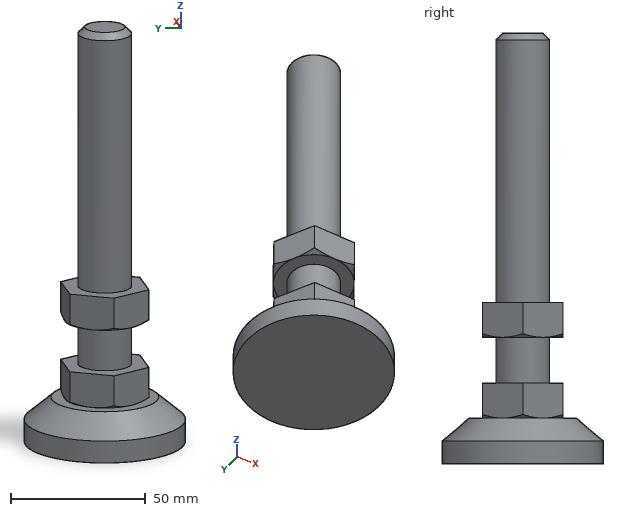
import cadquery as cq
import math

foot_diameter = 60.0
foot_top_diameter = 40.0
foot_rim_height = 8.5
foot_height = 17.0

total_height = 160.0
stud_diameter = 20.0
tip_chamfer = 2.5

across_flats = 30.0
hex_height = 13.0
hex_gap = 17.0
hex_sides = 6
chamfer_angle = 30.0
across_corners = across_flats / math.cos(math.pi / hex_sides)
corner_chamfer_width = (across_corners - across_flats) / 2
corner_chamfer_height = corner_chamfer_width * math.tan(math.radians(chamfer_angle))

stud_hex_bottom = foot_height
stud_hex_top = stud_hex_bottom + hex_height
nut_bottom = stud_hex_top + hex_gap


def hexagon(bottom):
    """Hexagonal prism with corners on the X axis and its lower corners bevelled by a cone."""
    prism = (
        cq.Workplane("XY")
        .workplane(offset=bottom)
        .polygon(hex_sides, across_corners)
        .extrude(hex_height)
    )
    bevelled_cylinder = (
        cq.Workplane("XY")
        .workplane(offset=bottom)
        .circle(across_corners / 2)
        .extrude(hex_height)
        .faces("<Z")
        .chamfer(corner_chamfer_height, corner_chamfer_width)
    )
    return prism.intersect(bevelled_cylinder)


def make_foot():
    """Solid of revolution: upright rim below, cone above, flat seat on top."""
    return (
        cq.Workplane("XZ")
        .lineTo(foot_diameter / 2, 0)
        .lineTo(foot_diameter / 2, foot_rim_height)
        .lineTo(foot_top_diameter / 2, foot_height)
        .lineTo(0, foot_height)
        .close()
        .revolve(360, (0, 0), (0, 1))
    )


def make_stud():
    """Stud and its fixed hexagon in one piece, standing on the foot."""
    shank = (
        cq.Workplane("XY")
        .workplane(offset=stud_hex_bottom)
        .circle(stud_diameter / 2)
        .extrude(total_height - stud_hex_bottom)
        .faces(">Z")
        .chamfer(tip_chamfer)
    )
    return shank.union(hexagon(stud_hex_bottom))


def make_lock_nut():
    """Loose hexagonal nut whose bore fits the stud."""
    bore = (
        cq.Workplane("XY")
        .workplane(offset=nut_bottom)
        .circle(stud_diameter / 2)
        .extrude(hex_height)
    )
    return hexagon(nut_bottom).cut(bore)


foot = make_foot()
stud = make_stud()
lock_nut = make_lock_nut()

result = cq.Compound.makeCompound([foot.val(), stud.val(), lock_nut.val()])